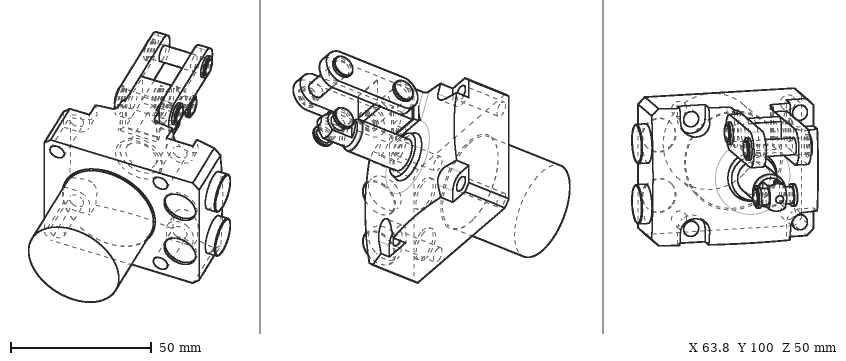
import cadquery as cq
import math


flange_left = -25.0
flange_right = 35.0
flange_half_height = 25.0
corner_chamfer = 2.5
crown_y = 26.6
crown_radius = 13.7
crown_angle = 15.0

barrel_radius = 17.5
barrel_length = 31.4
barrel_collar_radius = 18.0
barrel_collar_length = 0.4

bolt_offset = 20.0
bolt_hole_diameter = 5.5
pocket_radius = 5.1
pocket_floor_y = 17.2
overcut = 1.0

port_x = 27.5
port_z = 11.0
port_radius = 6.1
port_depth = 1.0
plug_radius = 7.0
plug_y = 12.5
plug_height = 3.8
plug_chamfer = 0.3

wiper_top_y = 28.7
wiper_top_radius = 8.2
wiper_base_radius = 9.0
rod_radius = 6.0
rod_shoulder_y = 49.8
rod_shoulder_edge_y = 50.4
rod_shoulder_edge_radius = 5.8
tang_radius = 5.0
tang_start_y = 51.5
tang_flat_start_y = 52.5
tang_half_thickness = 3.0
tang_tip_y = 64.5
tang_tip_radius = 1.4
lock_stud_radius = 0.9
lock_stud_y = 59.8
lock_stud_top_z = 5.8
lock_stud_chamfer = 0.3
rod_pin_y = 58.5
rod_pin_outer_x = 6.0

pin_radius = 3.0
pin_head_radius = 4.0
pin_head_thickness = 1.2
pin_head_chamfer = 0.2
pin_ring_thickness = 0.9
pin_tail = 0.6

link_height = 13.0
link_thickness = 4.5
link_end_radius = 6.7
link_z = flange_half_height - link_height / 2
pivot_y = 36.0
link_pitch = 25.9
ear_half_width = 6.0
ear_end_y = 43.7
ear_end_chamfer = 1.5
shoulder_half_width = 7.1
shoulder_y = 28.6
shoulder_height = 13.4
shoulder_fillet = 1.6
edge_tolerance = 0.1

link_outer_x = ear_half_width + link_thickness
tang_tip_start_y = tang_tip_y - (tang_radius - tang_tip_radius)


def box(x_range, y_range, z_range):
    """Solid block between the given limits."""
    low, high = zip(x_range, y_range, z_range)
    size = [b - a for a, b in zip(low, high)]
    return cq.Workplane("XY").box(*size, centered=False).translate(low)


def cylinder_y(radius, y_start, y_end, x=0.0, z=0.0):
    """Cylinder along Y."""
    start = cq.Vector(x, y_start, z)
    return cq.Workplane(cq.Solid.makeCylinder(radius, y_end - y_start, start, cq.Vector(0, 1, 0)))


def cylinder_x(radius, x_start, x_end, y, z):
    """Cylinder along X."""
    start = cq.Vector(x_start, y, z)
    return cq.Workplane(cq.Solid.makeCylinder(radius, x_end - x_start, start, cq.Vector(1, 0, 0)))


def turned(profile):
    """Solid of revolution about the Y axis from (radius, y) points."""
    return cq.Workplane("XY").polyline(profile).close().revolve(360, (0, 0), (0, 1))


def make_flange():
    """Chamfered block whose +Y face is a shallow cone."""
    block = box(
        (flange_left, flange_right),
        (0, crown_y),
        (-flange_half_height, flange_half_height),
    )
    block = block.edges("|Y").chamfer(corner_chamfer)
    cone_radius = math.hypot(flange_right, flange_half_height)
    cone_drop = (cone_radius - crown_radius) * math.tan(math.radians(crown_angle))
    crown = turned([
        (0, 0),
        (cone_radius, 0),
        (cone_radius, crown_y - cone_drop),
        (crown_radius, crown_y),
        (0, crown_y),
    ])
    return block.intersect(crown)


def add_shoulder(body):
    """Wide root of the ear, filleted into the crowned face."""
    bottom_z = flange_half_height - shoulder_height
    root = box(
        (-shoulder_half_width, shoulder_half_width),
        (pocket_floor_y, shoulder_y),
        (bottom_z, flange_half_height),
    )
    body = body.union(root)
    reach = shoulder_half_width + edge_tolerance
    root_region = cq.selectors.BoxSelector(
        (-reach, pocket_floor_y, bottom_z), (reach, crown_y, flange_half_height - edge_tolerance)
    )
    side_edges = [
        edge for edge in body.edges(root_region).vals()
        if abs(edge.Center().x) > shoulder_half_width - edge_tolerance
    ]
    return body.newObject(side_edges).fillet(shoulder_fillet)


def corner_pocket(side_x, side_z):
    """Spot face around a corner bolt, open to the nearest edges of the flange."""
    x = side_x * bolt_offset
    z = side_z * bolt_offset
    edge_z = side_z * (flange_half_height + overcut)
    y_range = (pocket_floor_y, crown_y + overcut)
    pocket = cylinder_y(pocket_radius, *y_range, x, z)
    slot = box((x - pocket_radius, x + pocket_radius), y_range, sorted((z, edge_z)))
    pocket = pocket.union(slot)
    if side_x < 0:
        inner_z = z - side_z * pocket_radius
        pocket = pocket.union(box((flange_left - overcut, x), y_range, sorted((inner_z, edge_z))))
    return pocket


def make_rod():
    """Piston rod with a flat-sided tang, a conical tip and a small stud that locks the cross pin."""
    rod = turned([
        (0, 0),
        (rod_radius, 0),
        (rod_radius, rod_shoulder_y),
        (rod_shoulder_edge_radius, rod_shoulder_edge_y),
        (tang_radius, tang_start_y),
        (tang_radius, tang_tip_start_y),
        (tang_tip_radius, tang_tip_y),
        (0, tang_tip_y),
    ])
    for side in (-1, 1):
        x_range = sorted((side * tang_half_thickness, side * rod_radius))
        rod = rod.cut(box(x_range, (tang_flat_start_y, tang_tip_y), (-rod_radius, rod_radius)))
    stud = cq.Workplane("XY").center(0, lock_stud_y).circle(lock_stud_radius).extrude(lock_stud_top_z)
    return rod.union(stud.faces(">Z").chamfer(lock_stud_chamfer))


def make_pin(y, z, outer_x):
    """Headed pin along X with a retaining ring at its right end."""
    ring_x = outer_x + pin_ring_thickness
    shank = cylinder_x(pin_radius, -outer_x, ring_x + pin_tail, y, z)
    head = cylinder_x(pin_head_radius, -outer_x - pin_head_thickness, -outer_x, y, z)
    head = head.faces("<X").chamfer(pin_head_chamfer)
    ring = cylinder_x(pin_head_radius, outer_x, ring_x, y, z)
    return shank.union(head).union(ring)


def make_link(x_start):
    """Flat link with rounded ends and a pin hole at each end."""
    x_end = x_start + link_thickness
    end_y = pivot_y + link_pitch
    half = link_height / 2
    z_range = (link_z - half, link_z + half)
    ends = cylinder_x(link_end_radius, x_start, x_end, pivot_y, link_z)
    ends = ends.union(cylinder_x(link_end_radius, x_start, x_end, end_y, link_z))
    slab = box((x_start, x_end), (pivot_y - link_end_radius, end_y + link_end_radius), z_range)
    middle = box((x_start, x_end), (pivot_y, end_y), z_range)
    link = middle.union(ends.intersect(slab))
    for y in (pivot_y, end_y):
        link = link.cut(cylinder_x(pin_radius, x_start, x_end, y, link_z))
    return link


def make_cylinder():
    """Flange, barrel, ear, plugs and piston rod with its cross pin."""
    body = add_shoulder(make_flange())

    barrel = turned([
        (0, 0),
        (barrel_collar_radius, 0),
        (barrel_radius, -barrel_collar_length),
        (barrel_radius, -barrel_length),
        (0, -barrel_length),
    ])
    body = body.union(barrel)

    wiper = turned([
        (0, pocket_floor_y),
        (wiper_base_radius, pocket_floor_y),
        (wiper_base_radius, crown_y),
        (wiper_top_radius, wiper_top_y),
        (0, wiper_top_y),
    ])
    body = body.union(wiper)

    ear = box(
        (-ear_half_width, ear_half_width),
        (pocket_floor_y, ear_end_y),
        (flange_half_height - link_height, flange_half_height),
    ).faces(">Y").edges("|X").chamfer(ear_end_chamfer)
    ear = ear.cut(cylinder_x(pin_radius, -ear_half_width, ear_half_width, pivot_y, link_z))
    body = body.union(ear)

    for side_z in (-1, 1):
        for side_x in (-1, 1):
            body = body.cut(corner_pocket(side_x, side_z))
            hole_x = side_x * bolt_offset
            hole_z = side_z * bolt_offset
            body = body.cut(cylinder_y(bolt_hole_diameter / 2, 0, pocket_floor_y, hole_x, hole_z))
        body = body.cut(cylinder_y(port_radius, 0, port_depth, port_x, side_z * port_z))
        plug = cylinder_x(plug_radius, flange_right, flange_right + plug_height, plug_y, side_z * port_z)
        body = body.union(plug.faces(">X").chamfer(plug_chamfer))

    return body.union(make_rod()).union(make_pin(rod_pin_y, 0, rod_pin_outer_x))


cylinder = make_cylinder()
links = [make_link(x) for x in (-link_outer_x, ear_half_width)]
pins = [make_pin(y, link_z, link_outer_x) for y in (pivot_y, pivot_y + link_pitch)]

result = cq.Compound.makeCompound([body.val() for body in [cylinder, *links, *pins]])